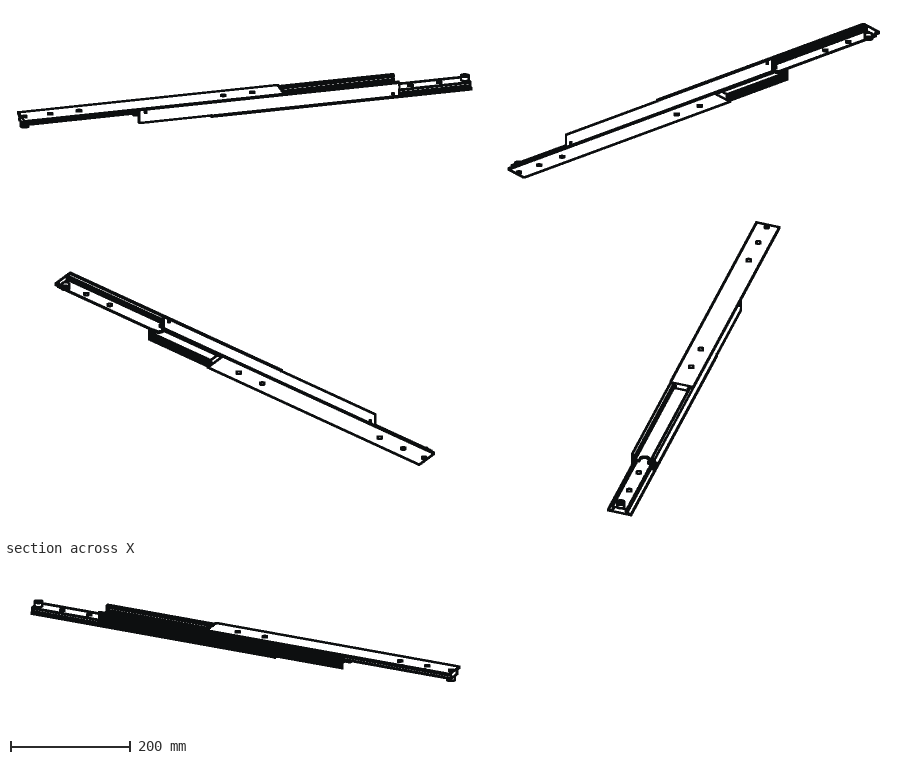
import cadquery as cq

total_length = 775.0
slide_width = 40.0
slide_height = 28.0
rail_length = 449.5
middle_length = 449.5
middle_center_y = 37.0

plate_thickness = 2.0
head_width = 25.5
head_gap = 7.0

track_radius = 2.2
track_z = 7.0

flange_height = 23.0
flange_inner_width = 29.0
web_thickness = 3.0
bore_diameter = 1.5
bore_x = 15.5

hole_pitch = rail_length / 9
hole_steps = (1, 2, 7, 8)
hole_diameter = 8.0

buffer_diameter = 13.0
buffer_overhang = 1.0
screw_recess_diameter = 7.0
screw_recess_depth = 1.5

notch_width = 16.0
notch_depth = 13.0
pin_hole_diameter = 3.0
pin_hole_inset = 11.0

rail_end_y = total_length / 2 - buffer_overhang
buffer_y = (total_length - buffer_diameter) / 2
plate_z = slide_height / 2 - plate_thickness
head_z = head_gap / 2


def bar(width, length, z_low, z_high, center_y):
    """Straight bar along Y, centred on X = 0."""
    base = cq.Workplane("XY", origin=(0, center_y, z_low))
    return base.rect(width, length).extrude(z_high - z_low)


def lengthwise_rods(points, diameter, length, center_y):
    """Round rods along Y at the given (x, z) points."""
    return (
        cq.Workplane("XZ", origin=(0, center_y, 0))
        .pushPoints(points)
        .circle(diameter / 2)
        .extrude(length / 2, both=True)
    )


def upright_disc(diameter, y, z_low, z_high):
    """Cylinder along Z on the centre line."""
    return cq.Workplane("XY", origin=(0, y, z_low)).circle(diameter / 2).extrude(z_high - z_low)


def make_upper_rail():
    """Guide rail with a wide plate on top, a grooved head below and an end buffer."""
    center_y = rail_length / 2 - rail_end_y
    top_z = slide_height / 2
    rail = bar(slide_width, rail_length, plate_z, top_z, center_y)
    rail = rail.union(bar(head_width, rail_length, head_z, plate_z, center_y))

    tracks = [(-head_width / 2, track_z), (head_width / 2, track_z)]
    rail = rail.cut(lengthwise_rods(tracks, 2 * track_radius, rail_length, center_y))

    for step in hole_steps:
        rail = rail.cut(upright_disc(hole_diameter, step * hole_pitch - rail_end_y, head_z, top_z))

    rail = rail.union(upright_disc(buffer_diameter, -buffer_y, -head_z, head_z))
    recess_spans = ((top_z - screw_recess_depth, top_z), (-head_z, screw_recess_depth - head_z))
    for z_low, z_high in recess_spans:
        rail = rail.cut(upright_disc(screw_recess_diameter, -buffer_y, z_low, z_high))
    return rail


def make_lower_rail():
    """The same rail turned half a revolution about the X axis."""
    return make_upper_rail().rotate((0, 0, 0), (1, 0, 0), 180)


def make_middle():
    """H-shaped member that carries one rail above its web and one below."""
    middle = bar(slide_width, middle_length, -flange_height / 2, flange_height / 2, middle_center_y)
    web_z = web_thickness / 2
    flange_z = flange_height / 2
    for z_low, z_high in ((-flange_z, -web_z), (web_z, flange_z)):
        middle = middle.cut(bar(flange_inner_width, middle_length, z_low, z_high, middle_center_y))

    tracks = [(x, z) for x in (-flange_inner_width / 2, flange_inner_width / 2) for z in (-track_z, track_z)]
    middle = middle.cut(lengthwise_rods(tracks, 2 * track_radius, middle_length, middle_center_y))
    bores = [(-bore_x, 0), (bore_x, 0)]
    middle = middle.cut(lengthwise_rods(bores, bore_diameter, middle_length, middle_center_y))

    for side in (-1, 1):
        end_y = middle_center_y + side * middle_length / 2
        notch = (
            cq.Workplane("XY", origin=(0, end_y, 0))
            .slot2D(2 * notch_depth, notch_width, 90)
            .extrude(web_thickness, both=True)
        )
        middle = middle.cut(notch)
        pin_hole = (
            cq.Workplane("YZ")
            .center(end_y - side * pin_hole_inset, -side * track_z)
            .circle(pin_hole_diameter / 2)
            .extrude(slide_width, both=True)
        )
        middle = middle.cut(pin_hole)
    return middle


upper_rail = make_upper_rail()
lower_rail = make_lower_rail()
middle = make_middle()

result = cq.Compound.makeCompound([upper_rail.val(), lower_rail.val(), middle.val()])